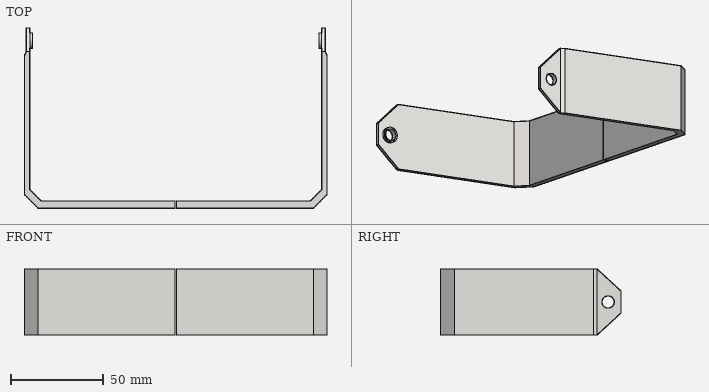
import cadquery as cq
import math

overall_width = 164.4
depth = 98.0
height = 36.0
half_width = overall_width / 2
seam_gap = 0.6

base_thickness = 4.0
leg_thickness = 3.0
tab_thickness = 2.0

outer_bend = 7.5
inner_bend = outer_bend + base_thickness * math.sqrt(2) - base_thickness - leg_thickness

tab_length = 13.0
tab_end_height = 12.0
step_length = 2.0
tab_start = depth - tab_length

boss_diameter = 8.4
hole_diameter = 6.5
boss_length = 1.5
hole_from_end = 7.0
hole_y = depth - hole_from_end

leg_outer = -half_width
leg_inner = leg_outer + leg_thickness
tab_outer = leg_inner - tab_thickness


def wall():
    """Left half of the U: base, bend, leg and thinner tab, extruded over the full height."""
    outline = [
        (-seam_gap / 2, 0),
        (leg_outer + outer_bend, 0),
        (leg_outer, outer_bend),
        (leg_outer, tab_start - step_length),
        (tab_outer, tab_start),
        (tab_outer, depth),
        (leg_inner, depth),
        (leg_inner, base_thickness + inner_bend),
        (leg_inner + inner_bend, base_thickness),
        (-seam_gap / 2, base_thickness),
    ]
    return cq.Workplane("XY").polyline(outline).close().extrude(height / 2, both=True)


def side_profile():
    """Leg seen along X: a rectangle whose free end tapers to the tab end, cut across the left half."""
    outline = [
        (0, -height / 2),
        (tab_start, -height / 2),
        (depth, -tab_end_height / 2),
        (depth, tab_end_height / 2),
        (tab_start, height / 2),
        (0, height / 2),
    ]
    return cq.Workplane("YZ", origin=(leg_outer, 0, 0)).polyline(outline).close().extrude(half_width)


def hinge_cylinder(diameter, start_x, length):
    """Cylinder along X on the hinge axis."""
    return cq.Workplane("YZ", origin=(start_x, hole_y, 0)).circle(diameter / 2).extrude(length)


def left_half():
    """Wall with its tapered tab, plus the boss and the hole through both."""
    hinge_length = tab_thickness + boss_length
    boss = hinge_cylinder(boss_diameter, tab_outer, hinge_length)
    hole = hinge_cylinder(hole_diameter, tab_outer, hinge_length)
    return wall().intersect(side_profile()).union(boss).cut(hole)


bracket_left = left_half()
bracket_right = bracket_left.mirror("YZ")

result = cq.Compound.makeCompound([bracket_left.val(), bracket_right.val()])